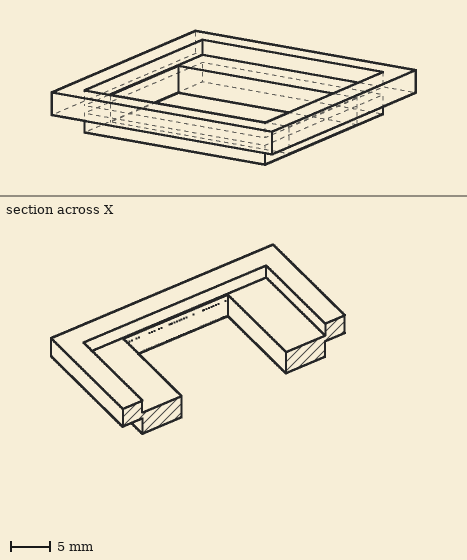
import cadquery as cq

frame_length_x = 33.5
frame_length_y = 33.9
frame_height = 3.02
frame_wall = 3.02

total_height = 5.6
pocket_depth = 2.0
window_y = 15.93
side_wall = 0.17

opening_x = frame_length_x - 2 * frame_wall
opening_y = frame_length_y - 2 * frame_wall
insert_height = total_height - pocket_depth
window_x = opening_x - 2 * side_wall


def block(length_x, length_y, bottom, height):
    """Box centred on the Z axis, rising from the given bottom level."""
    return cq.Workplane("XY").workplane(offset=bottom).rect(length_x, length_y).extrude(height)


flange = block(frame_length_x, frame_length_y, total_height - frame_height, frame_height)
insert = block(opening_x, opening_y, 0, insert_height)

pocket = block(opening_x, opening_y, insert_height, pocket_depth)
window = block(window_x, window_y, 0, total_height)

result = flange.union(insert).cut(pocket).cut(window)